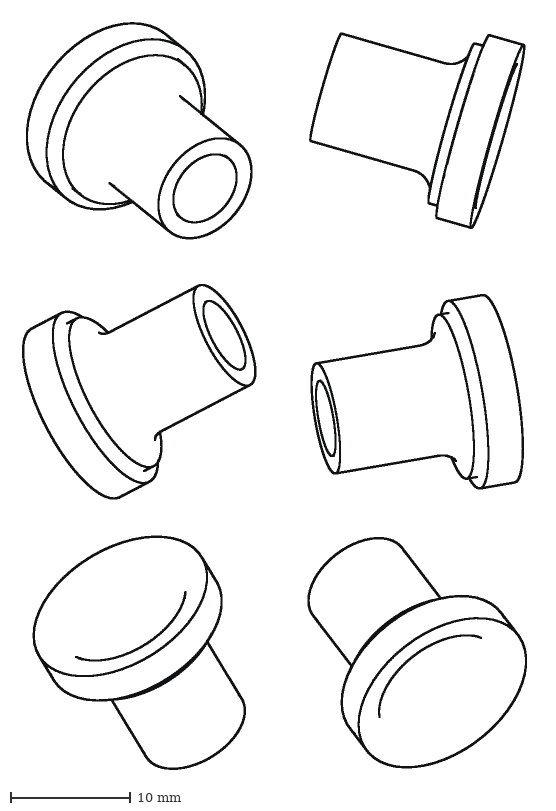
import cadquery as cq
import math

total_length = 15.0
flange_radius = 16 / 2
flange_thickness = 3.0
step_radius = 14.0 / 2
step_end = 4.0
root_fillet = 0.1
tube_radius = 9.4 / 2
neck_fillet = 2.0

bore_radius = 6.4 / 2
mouth_radius = 6.64
mouth_rounding = 1.0
throat_rounding = 9.0
cone_angle = math.radians(25)


def on_circle(center, radius, angle):
    """Point (x, r) on a circle in the half section, angle measured from +X."""
    return (center[0] + radius * math.cos(angle), center[1] + radius * math.sin(angle))


def outer_body():
    neck_center = (step_end + neck_fillet, tube_radius + neck_fillet)
    root_center = (flange_thickness + root_fillet, step_radius + root_fillet)
    profile = (
        cq.Workplane("XY")
        .lineTo(0, flange_radius)
        .lineTo(flange_thickness, flange_radius)
        .lineTo(flange_thickness, root_center[1])
        .threePointArc(on_circle(root_center, root_fillet, math.radians(225)), (root_center[0], step_radius))
        .lineTo(step_end, step_radius)
        .lineTo(step_end, neck_center[1])
        .threePointArc(on_circle(neck_center, neck_fillet, math.radians(225)), (neck_center[0], tube_radius))
        .lineTo(total_length, tube_radius)
        .lineTo(total_length, 0)
        .close()
    )
    return profile.revolve(360, (0, 0, 0), (1, 0, 0))


def funnel_bore():
    mouth_center = (mouth_rounding, mouth_radius)
    cone_normal = -math.pi / 2 - cone_angle
    cone_start = on_circle(mouth_center, mouth_rounding, cone_normal)
    mouth_middle = on_circle(mouth_center, mouth_rounding, (cone_normal - math.pi) / 2)

    cone_end_radius = bore_radius + throat_rounding * (1 - math.cos(cone_angle))
    cone_end_x = cone_start[0] + (cone_start[1] - cone_end_radius) / math.tan(cone_angle)
    throat_center = (cone_end_x + throat_rounding * math.sin(cone_angle), bore_radius + throat_rounding)
    throat_middle = on_circle(throat_center, throat_rounding, -math.pi / 2 - cone_angle / 2)

    profile = (
        cq.Workplane("XY")
        .lineTo(0, mouth_radius)
        .threePointArc(mouth_middle, cone_start)
        .lineTo(cone_end_x, cone_end_radius)
        .threePointArc(throat_middle, (throat_center[0], bore_radius))
        .lineTo(total_length, bore_radius)
        .lineTo(total_length, 0)
        .close()
    )
    return profile.revolve(360, (0, 0, 0), (1, 0, 0))


result = outer_body().cut(funnel_bore())